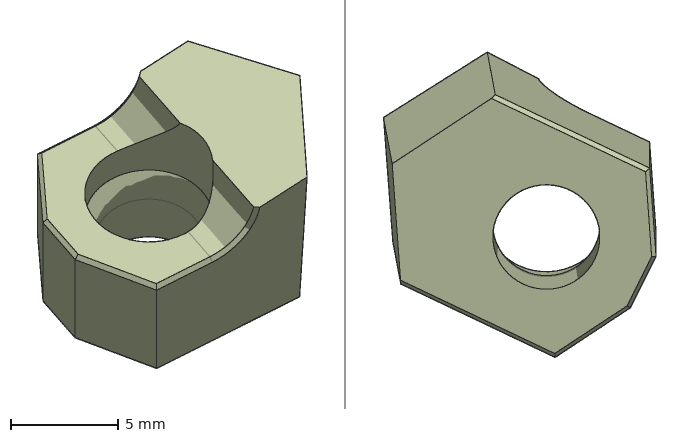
import cadquery as cq
import math

width = 10.08
length = 13.5
height = 9.0
front_y = -5.04
ledge_height = 6.0
scoop_start_y = 0.22
scoop_radius = 2.5
bore_radius = 2.5
counterbore_radius = 3.0
seat_height = 4.2
seat_radius = 2.5
chamfer = 0.2
top_slope = math.radians(10)
back_lean = math.radians(2.5)

half_width = width / 2
point_depth = half_width / math.sqrt(3)
front_half_width = (2 * point_depth + front_y) * math.sqrt(3)
back_y = front_y + length
scoop_center_z = ledge_height + scoop_radius


def make_body():
    """Prism under the front ledge and the full height behind it."""
    corner_y = back_y - point_depth
    outline = [
        (-front_half_width, front_y),
        (front_half_width, front_y),
        (half_width, -point_depth),
        (half_width, corner_y),
        (0, back_y),
        (-half_width, corner_y),
        (-half_width, -point_depth),
    ]
    return cq.Workplane("XY").polyline(outline).close().extrude(height)


def make_scoop():
    """Ledge, quarter-round scoop and everything above them, cut across the width."""
    scoop_end_y = scoop_start_y + scoop_radius
    diagonal = scoop_radius * math.sqrt(0.5)
    return (
        cq.Workplane("YZ")
        .moveTo(front_y - chamfer, ledge_height)
        .lineTo(scoop_start_y, ledge_height)
        .threePointArc(
            (scoop_start_y + diagonal, scoop_center_z - diagonal),
            (scoop_end_y, scoop_center_z),
        )
        .lineTo(scoop_end_y, height)
        .lineTo(front_y - chamfer, height)
        .close()
        .extrude(half_width, both=True)
    )


def chamfer_edges(body):
    """Chamfer the ledge rim, the scoop sides and the base, except along the back."""
    back_corner_y = back_y - point_depth
    upright = cq.selectors.ParallelDirSelector(cq.Vector(0, 0, 1))
    crosswise = cq.selectors.ParallelDirSelector(cq.Vector(1, 0, 0))
    front_edges = cq.selectors.BoxSelector(
        (-width, front_y - chamfer, 0),
        (width, front_y + chamfer, height),
    )
    upper_edges = cq.selectors.BoxSelector(
        (-width, front_y - chamfer, ledge_height - chamfer),
        (width, scoop_start_y + scoop_radius / 2, height - chamfer),
    )
    base_edges = cq.selectors.BoxSelector(
        (-width, front_y - chamfer, -chamfer),
        (width, back_corner_y - chamfer, chamfer),
    )
    rim = upper_edges - upright - (crosswise - front_edges)
    return body.edges(rim).chamfer(chamfer).edges(base_edges).chamfer(chamfer)


def trim_top(body):
    """Slope the top face down from the back point."""
    drop = length * math.tan(top_slope)
    wedge = (
        cq.Workplane("YZ")
        .polyline([(back_y, height), (front_y, height - drop), (front_y, height)])
        .close()
        .extrude(half_width, both=True)
    )
    return body.cut(wedge)


def trim_back(body):
    """Lean the two back faces inward toward the base."""
    run = height * math.tan(back_lean)
    wedge = (
        cq.Workplane("YZ")
        .polyline([(0, height), (-run, 0), (width, 0), (width, height)])
        .close()
        .extrude(width, both=True)
    )
    for angle in (30, -30):
        turned_wedge = wedge.rotate((0, 0, 0), (0, 0, 1), angle)
        body = body.cut(turned_wedge.translate((0, back_y, 0)))
    return body


def make_hole():
    """Stepped through hole with a rounded seat that runs tangent into the bore."""
    arc_angle = math.acos(1 - (counterbore_radius - bore_radius) / seat_radius)
    bore_top = seat_height - seat_radius * math.sin(arc_angle)
    middle_angle = arc_angle / 2
    seat_middle = (
        bore_radius + seat_radius * (1 - math.cos(middle_angle)),
        bore_top + seat_radius * math.sin(middle_angle),
    )
    return (
        cq.Workplane("XZ")
        .lineTo(bore_radius, 0)
        .lineTo(bore_radius, bore_top)
        .threePointArc(seat_middle, (counterbore_radius, seat_height))
        .lineTo(counterbore_radius, height)
        .lineTo(0, height)
        .close()
        .revolve(360, (0, 0, 0), (0, 1, 0))
    )


stepped_body = make_body().cut(make_scoop())
chamfered_body = chamfer_edges(stepped_body)
result = trim_back(trim_top(chamfered_body)).cut(make_hole())